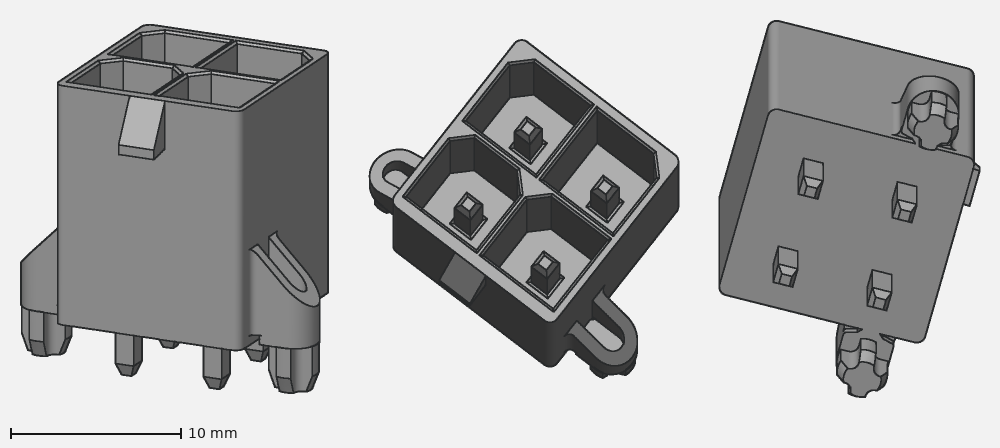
import cadquery as cq
import math


body_x = 12.05
body_y = 12.51
body_height = 14.8
body_corner_radius = 0.53

pitch = 5.71
grid_y = 0.1
cavity_side = 5.52
cavity_corner_cut = 1.1
cavity_floor = 3.82
mouth_chamfer = 0.15

pin_side = 1.18
pin_tip_side = 0.63
pin_tip_length = 0.75
pin_top = 9.55
pin_bottom = -3.7
recess_side = 1.59

latch_width = 2.3
latch_reach = 1.53
latch_lip_top_drop = 2.58
latch_root_drop = 2.96
latch_tip_drop = 3.17

span_x = 19.1
tab_y = -3.1
tab_radius = 1.53
slot_radius = 0.75
tab_tip_height = 2.39
tab_fillet = 0.4
neck_height = 0.57
neck_corner_radius = 0.21
neck_taper_angle = 16
neck_chamfer = 0.25

peg_radius = 1.49
peg_tip_radius = 1.1
peg_length = 2.88
peg_taper_length = 1.03
fin_width = 0.92
flute_radius = 0.5

wall_x = -body_x / 2
tab_x = -span_x / 2 + tab_radius
pin_columns = (-pitch / 2, pitch / 2)
pin_rows = (grid_y - pitch / 2, grid_y + pitch / 2)


def square_frustum(x, y, z_start, z_end, side_start, side_end):
    """Square block whose side changes evenly from z_start to z_end."""
    return (
        cq.Workplane("XY", origin=(x, y, z_start))
        .rect(side_start, side_start)
        .workplane(offset=z_end - z_start)
        .rect(side_end, side_end)
        .loft(ruled=True)
    )


def housing():
    """Solid block with rounded upright edges."""
    block = cq.Workplane("XY").box(body_x, body_y, body_height, centered=(True, True, False))
    return block.edges("|Z").fillet(body_corner_radius)


def cavity_points(inset, cut_left, cut_right):
    """Cavity outline shrunk by inset, with the chosen +Y corners cut at 45 degrees."""
    half = cavity_side / 2 - inset
    cut = cavity_corner_cut - inset * (2 - math.sqrt(2))
    points = [(-half, -half), (half, -half)]
    points += [(half, half - cut), (half - cut, half)] if cut_right else [(half, half)]
    points += [(cut - half, half), (-half, half - cut)] if cut_left else [(-half, half)]
    return points


def cavity(x, y, cut_left, cut_right):
    """Straight shaft below a flared mouth."""
    inner = cavity_points(mouth_chamfer, cut_left, cut_right)
    outer = cavity_points(0, cut_left, cut_right)
    flare_start = body_height - mouth_chamfer
    shaft = (
        cq.Workplane("XY", origin=(x, y, cavity_floor))
        .polyline(inner)
        .close()
        .extrude(flare_start - cavity_floor)
    )
    flare = (
        cq.Workplane("XY", origin=(x, y, flare_start))
        .polyline(inner)
        .close()
        .workplane(offset=mouth_chamfer)
        .polyline(outer)
        .close()
        .loft(ruled=True)
    )
    return shaft.union(flare)


def pin_recess(x, y):
    """45 degree chamfer sunk into the cavity floor around a pin."""
    depth = (recess_side - pin_side) / 2
    return square_frustum(x, y, cavity_floor - depth, cavity_floor, pin_side, recess_side)


def pin(x, y):
    """Square pin tapered at both ends."""
    shank_bottom = pin_bottom + pin_tip_length
    shank_top = pin_top - pin_tip_length
    shank = square_frustum(x, y, shank_bottom, shank_top, pin_side, pin_side)
    lower_tip = square_frustum(x, y, pin_bottom, shank_bottom, pin_tip_side, pin_side)
    upper_tip = square_frustum(x, y, shank_top, pin_top, pin_side, pin_tip_side)
    return shank.union(lower_tip).union(upper_tip)


def latch():
    """Ramp that slopes out from the top of the front wall to a blunt lip."""
    wall_y = -body_y / 2
    tip_y = wall_y - latch_reach
    profile = [
        (wall_y, body_height),
        (tip_y, body_height - latch_lip_top_drop),
        (tip_y, body_height - latch_tip_drop),
        (wall_y, body_height - latch_root_drop),
    ]
    return cq.Workplane("YZ").polyline(profile).close().extrude(latch_width / 2, both=True)


def tab_upper():
    """Slotted tab under a 45 degree slope, with concave fillets against the housing wall."""
    fillet_x = wall_x - tab_fillet
    root_half = tab_radius + tab_fillet
    top = tab_tip_height + span_x / 2 + wall_x
    plan = (
        cq.Workplane("XY", origin=(0, tab_y, neck_height))
        .moveTo(wall_x, root_half)
        .radiusArc((fillet_x, tab_radius), tab_fillet)
        .lineTo(tab_x, tab_radius)
        .threePointArc((tab_x - tab_radius, 0), (tab_x, -tab_radius))
        .lineTo(fillet_x, -tab_radius)
        .radiusArc((wall_x, -root_half), tab_fillet)
        .close()
        .extrude(top - neck_height)
    )
    above_slope = (
        cq.Workplane("XZ")
        .moveTo(-span_x / 2, tab_tip_height)
        .lineTo(wall_x, top)
        .lineTo(-span_x / 2, top)
        .close()
        .extrude(body_y / 2)
    )
    slot = (
        cq.Workplane("XY", origin=(0, tab_y, neck_height))
        .moveTo(wall_x, slot_radius)
        .lineTo(tab_x, slot_radius)
        .threePointArc((tab_x - slot_radius, 0), (tab_x, -slot_radius))
        .lineTo(wall_x, -slot_radius)
        .close()
        .extrude(top - neck_height)
    )
    return plan.cut(above_slope).cut(slot)


def tab_base():
    """Foot of the tab, whose neck narrows towards the housing wall."""
    taper_x = wall_x - tab_fillet
    corner_x = taper_x - neck_corner_radius
    chamfer_x = wall_x - neck_chamfer
    taper_half = tab_radius - neck_corner_radius
    neck_half = taper_half - (chamfer_x - taper_x) / math.tan(math.radians(neck_taper_angle))
    root_half = neck_half - neck_chamfer
    return (
        cq.Workplane("XY", origin=(0, tab_y, 0))
        .moveTo(wall_x, root_half)
        .lineTo(chamfer_x, neck_half)
        .lineTo(taper_x, taper_half)
        .radiusArc((corner_x, tab_radius), -neck_corner_radius)
        .lineTo(tab_x, tab_radius)
        .threePointArc((tab_x - tab_radius, 0), (tab_x, -tab_radius))
        .lineTo(corner_x, -tab_radius)
        .radiusArc((taper_x, -taper_half), -neck_corner_radius)
        .lineTo(chamfer_x, -neck_half)
        .lineTo(wall_x, -root_half)
        .close()
        .extrude(neck_height)
    )


def peg():
    """Cross of four fins with filleted inner corners, trimmed to a tapered round outside."""
    fin_length = 2 * peg_radius
    base = cq.Workplane("XY", origin=(tab_x, tab_y, 0))
    cross = (
        base.rect(fin_length, fin_width)
        .extrude(-peg_length)
        .union(base.rect(fin_width, fin_length).extrude(-peg_length))
    )
    inner_corners = cq.selectors.BoxSelector(
        (tab_x - fin_width, tab_y - fin_width, -peg_length),
        (tab_x + fin_width, tab_y + fin_width, 0),
    )
    cross = cross.edges("|Z").edges(inner_corners).fillet(flute_radius)
    envelope = (
        cq.Workplane("XZ", origin=(tab_x, tab_y, 0))
        .lineTo(peg_radius, 0)
        .lineTo(peg_radius, peg_taper_length - peg_length)
        .lineTo(peg_tip_radius, -peg_length)
        .lineTo(0, -peg_length)
        .close()
        .revolve(360, (0, 0, 0), (0, 1, 0))
    )
    return cross.intersect(envelope)


result = housing()

cavities = [
    (0, 0, True, True),
    (1, 0, True, False),
    (0, 1, True, False),
    (1, 1, False, True),
]
for column, row, cut_left, cut_right in cavities:
    x = pin_columns[column]
    y = pin_rows[row]
    result = result.cut(cavity(x, y, cut_left, cut_right))
    result = result.cut(pin_recess(x, y))
    result = result.union(pin(x, y))

result = result.union(latch())

mount = tab_upper().union(tab_base()).union(peg())
result = result.union(mount).union(mount.mirror("YZ"))